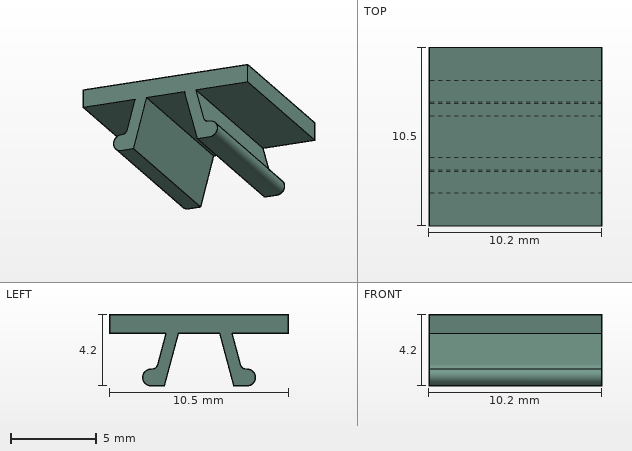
import cadquery as cq
import math

length_x = 10.15
width_y = 10.5
height_z = 4.2

plate_thickness = 1.1
leg_lean = math.radians(15)
leg_inner_top_y = 1.21
leg_outer_top_y = 1.94
bulb_tip_y = 3.32
bulb_diameter = 1.0
neck_radius = 0.34

leg_height = height_z - plate_thickness
bulb_radius = bulb_diameter / 2


def make_plate():
    """Flat rectangular cover plate, its underside at the top of the legs."""
    return cq.Workplane("XY").box(
        length_x, width_y, plate_thickness, centered=(True, True, False)
    ).translate((0, 0, leg_height))


def leg_y(top_y, z):
    """Y of a leaning leg face at height z, given its Y under the plate."""
    return top_y + (leg_height - z) * math.tan(leg_lean)


def make_leg():
    """Leaning leg on the +Y side, with a round bulb at its foot."""
    bulb_center_y = bulb_tip_y - bulb_radius

    neck_center_z = bulb_diameter + neck_radius
    neck_center_y = leg_y(leg_outer_top_y, neck_center_z) + neck_radius / math.cos(leg_lean)

    def neck_point(angle):
        return (
            neck_center_y - neck_radius * math.cos(angle),
            neck_center_z - neck_radius * math.sin(angle),
        )

    neck_middle_angle = (leg_lean + math.pi / 2) / 2

    return (
        cq.Workplane("YZ")
        .moveTo(leg_inner_top_y, leg_height)
        .lineTo(leg_y(leg_inner_top_y, 0), 0)
        .lineTo(bulb_center_y, 0)
        .threePointArc((bulb_tip_y, bulb_radius), (bulb_center_y, bulb_diameter))
        .lineTo(neck_center_y, bulb_diameter)
        .threePointArc(neck_point(neck_middle_angle), neck_point(leg_lean))
        .lineTo(leg_outer_top_y, leg_height)
        .close()
        .extrude(length_x / 2, both=True)
    )


leg = make_leg()
result = make_plate().union(leg).union(leg.mirror("XZ"))